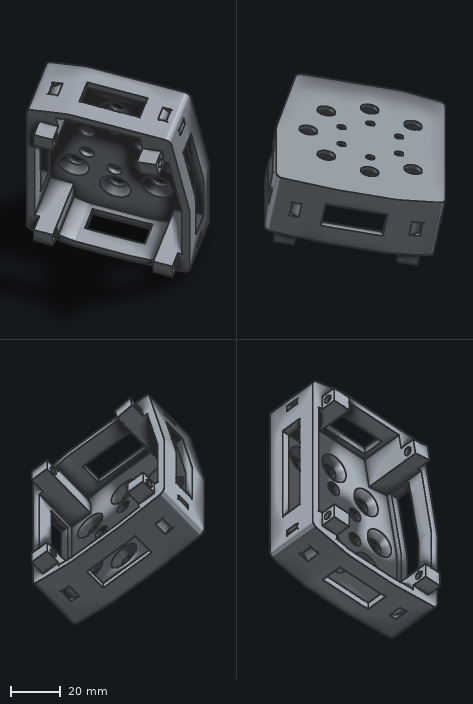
import cadquery as cq
import math

far = 176.0

width = 68.8
height = 88.0
top_left_z = 83.95
top_slope_x = 17.5
top_right_x = 60.6
right_slope_z = 43.3
bottom_left_z = 4.0
bottom_left_slope_x = 19.8
bottom_right_slope_x = 44.35
bottom_right_z = 2.5
tight_radius = 3.0
gentle_radius = 20.0

depth = 25.0
wall = 3.4
floor = 5.0

block_left = 13.4
block_right = 55.6
block_low_z = 13.8
block_high_z = 71.0
peg_length = 8.1
peg_height = 7.0
peg_reach = 7.0
peg_hole_diameter = 3.5
peg_hole_offset = 3.2
slanted_block_x = 50.1
slanted_block_z = 71.2

countersink_centre = (30.8, 44.0)
countersink_circle_radius = 25.0
countersink_angles = (0, 45, 90, 135, 225, 270, 315)
countersink_diameter = 13.1
countersink_hole_diameter = 7.2
countersink_depth = (countersink_diameter - countersink_hole_diameter) / 2
screw_centre = (30.5, 44.0)
screw_circle_radius = 13.55
screw_angles = (30, 90, 150, 210, 270, 330)
screw_hole_diameter = 3.5
screw_head_diameter = 6.2
screw_head_depth = 2.5

window_width = 10.0
window_start = (depth - window_width) / 2
left_window_z = (20.4, 67.7)
right_window_z = (19.1, 71.9)
top_window_x = (19.8, 45.2)
bottom_window_x = (22.1, 47.3)

strap_width = 6.2
strap_thickness = 2.0
strap_y = 13.0
strap_length = 52.8
strap_low_z = 9.6
strap_low_angle = 38.5
strap_left_z = 78.3
strap_left_angle = 42.4
strap_top_x = 54.2
strap_right_angle = 36.0

corners = {
    "left_bottom": (0, bottom_left_z),
    "bottom_left": (bottom_left_slope_x, 0),
    "bottom_right": (bottom_right_slope_x, 0),
    "right_bottom": (width, bottom_right_z),
    "right": (width, right_slope_z),
    "top_right": (top_right_x, height),
    "top_left": (top_slope_x, height),
    "left_top": (0, top_left_z),
}
tight_corners = ("left_bottom", "right_bottom", "top_right", "left_top")
gentle_corners = ("bottom_left", "bottom_right", "right", "top_left")

right_slant = math.degrees(math.atan2(width - top_right_x, height - right_slope_z))
top_slant = math.degrees(math.atan2(height - top_left_z, top_slope_x))


def plane_at(distance):
    """XZ plane at a distance in front of the back face; it extrudes toward -Y."""
    return cq.Workplane("XZ", origin=(0, -distance, 0))


def block(x_range, z_range, start, length):
    """Straight block spanning X and Z ranges, from start to start + length ahead of the back."""
    size_x = x_range[1] - x_range[0]
    size_z = z_range[1] - z_range[0]
    profile = plane_at(start).moveTo(x_range[0], z_range[0])
    return profile.rect(size_x, size_z, centered=False).extrude(length)


def turned(solid, angle, x, z):
    """Turn a solid counterclockwise, as seen from the rim side, about the point (x, z)."""
    return solid.rotate((x, 0, z), (x, -1, z), angle)


def outline_solid():
    solid = plane_at(0).polyline(list(corners.values())).close().extrude(depth)
    for names, radius in ((tight_corners, tight_radius), (gentle_corners, gentle_radius)):
        for name in names:
            x, z = corners[name]
            corner_edge = cq.selectors.NearestToPointSelector((x, -depth / 2, z))
            solid = solid.edges(corner_edge).fillet(radius)
    return solid


def cavity():
    """Space inside the walls, without the four corner blocks."""
    space = plane_at(floor).polyline(list(corners.values())).close().offset2D(-wall).extrude(depth)
    upper_z = block_high_z + peg_height
    upper_left = block((-far, block_left), (block_high_z, upper_z), 0, far)
    leaning = block((-far, block_left), (upper_z, far), 0, far)
    leaning = turned(leaning, top_slant, block_left, upper_z)
    lower_left = block((-far, block_left), (-far, block_low_z), 0, far)
    lower_right = block((block_right, far), (-far, block_low_z), 0, far)
    slanted = block((slanted_block_x, far), (slanted_block_z, far), 0, far)
    slanted = turned(slanted, right_slant, slanted_block_x, slanted_block_z)
    for corner_block in (upper_left, leaning, lower_left, lower_right, slanted):
        space = space.cut(corner_block)
    return space


def peg(x, z):
    """Peg with its lower left corner at (x, z), drilled along X."""
    body = block((x, x + peg_length), (z, z + peg_height), depth, peg_reach)
    hole_start = (x, -depth - peg_hole_offset, z + peg_height / 2)
    hole = cq.Workplane("YZ", origin=hole_start).circle(peg_hole_diameter / 2).extrude(peg_length)
    return body.cut(hole)


def add_pegs(solid):
    left_x = block_left - peg_length
    low_z = block_low_z - peg_height
    for x, z in ((left_x, block_high_z), (left_x, low_z), (block_right, low_z)):
        solid = solid.union(peg(x, z))
    slanted = peg(slanted_block_x, slanted_block_z)
    return solid.union(turned(slanted, right_slant, slanted_block_x, slanted_block_z))


def circle_points(centre, radius, angles):
    return [
        (
            centre[0] + radius * math.cos(math.radians(angle)),
            centre[1] + radius * math.sin(math.radians(angle)),
        )
        for angle in angles
    ]


def cut_floor_holes(solid):
    countersinks = circle_points(countersink_centre, countersink_circle_radius, countersink_angles)
    screws = circle_points(screw_centre, screw_circle_radius, screw_angles)
    for x, z in countersinks:
        cone = cq.Solid.makeCone(
            countersink_diameter / 2,
            countersink_hole_diameter / 2,
            countersink_depth,
            pnt=cq.Vector(x, -floor, z),
            dir=cq.Vector(0, 1, 0),
        )
        solid = solid.cut(cq.Workplane(cone))
    for points, diameter, hole_depth in (
        (countersinks, countersink_hole_diameter, floor),
        (screws, screw_head_diameter, screw_head_depth),
        (screws, screw_hole_diameter, floor),
    ):
        holes = plane_at(floor).pushPoints(points).circle(diameter / 2).extrude(-hole_depth)
        solid = solid.cut(holes)
    return solid


def cut_windows(solid):
    left_wall = (-wall, 2 * wall)
    right_wall = (block_right, far)
    bottom_wall = (-wall, 2 * wall)
    top_wall = (height - 2 * wall, height + wall)
    for x_range, z_range in (
        (left_wall, left_window_z),
        (right_wall, right_window_z),
        (top_window_x, top_wall),
        (bottom_window_x, bottom_wall),
    ):
        solid = solid.cut(block(x_range, z_range, window_start, window_width))
    return solid


def strap_channel(x, z, angle):
    """Channel whose middle plane passes through (x, z), inclined at an angle to X."""
    channel = block(
        (x - strap_length / 2, x + strap_length / 2),
        (z - strap_thickness / 2, z + strap_thickness / 2),
        strap_y - strap_width / 2,
        strap_width,
    )
    return turned(channel, angle, x, z)


straps = (
    (0, strap_low_z, -strap_low_angle),
    (width, strap_low_z, strap_low_angle),
    (0, strap_left_z, strap_left_angle),
    (strap_top_x, height, -strap_right_angle),
)

result = outline_solid().cut(cavity())
result = cut_floor_holes(result)
result = cut_windows(result)
result = add_pegs(result)
for x, z, angle in straps:
    result = result.cut(strap_channel(x, z, angle))